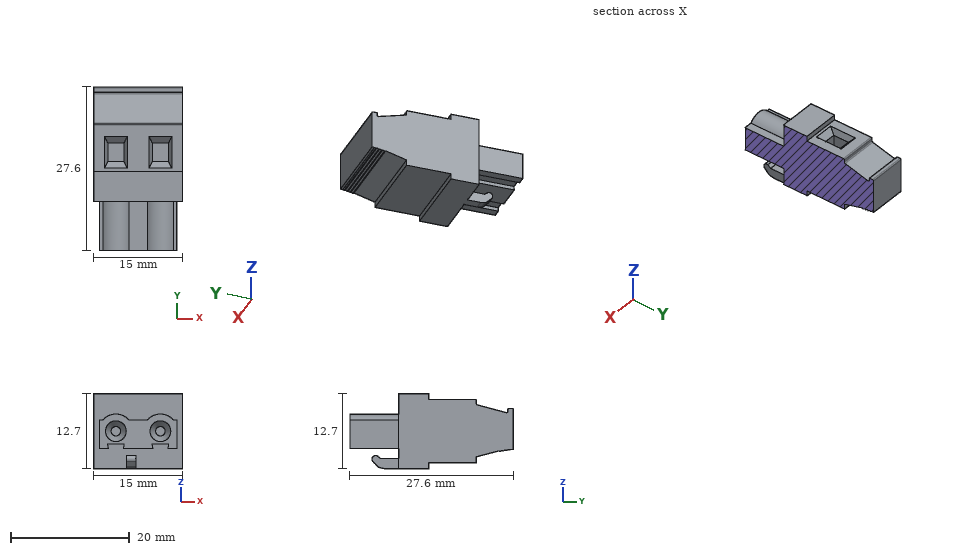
import cadquery as cq
import math


width = 15.0
length = 27.6
height = 12.7
pole_pitch = 7.5
pole_centers = (-pole_pitch / 2, pole_pitch / 2)

collar_front = 8.25
collar_back = 13.33
collar_step = 1.0
body_back = 21.35
body_top = height - collar_step
upper_slope_start_z = 10.85
lower_slope_start_z = 2.01
slope_angle = 15
slope = math.tan(math.radians(slope_angle))
lip_thickness = 0.97
lip_front = length - lip_thickness
lip_top = 10.18
edge_radius = 0.2

rear_bottom = 3.25
tooth_count = 4
tooth_pitch = 0.52
first_tooth_inset = 0.65
first_tooth_y = length - first_tooth_inset
first_tooth_z = 3.15
tooth_drop = 0.08
tooth_depth = 0.1
tooth_flank = 0.22
first_tooth_start = first_tooth_y + tooth_flank

plug_width = 13.05
plug_bottom = 3.42
plug_top = 8.22
socket_z = 6.35
barrel_radius = 2.9
socket_mouth_diameter = 3.5
socket_end_diameter = 1.6
socket_depth = 1.65

keyway_depth = 0.75
keyway_mouth_width = 2.55
keyway_root_width = 2.82

well_center_y = 16.55
well_mouth_x = 3.85
well_mouth_y = 5.33
well_x = 2.73
well_y = 3.12
well_taper_depth = 1.1
well_depth = 5.52

hook_width = 1.63
hook_center_x = -1.2
hook_thickness = 1.77
hook_heel_radius = 0.83


def extrude_across(outline, x_center, x_size):
    """Extrude a closed (Y, Z) outline symmetrically about x_center."""
    return outline.extrude(x_size / 2, both=True).translate((x_center, 0, 0))


def tooth_points():
    """Tip and following valley of each grip tooth, from rear to front."""
    points = []
    for i in range(tooth_count):
        tip_y = first_tooth_y - i * tooth_pitch
        tip_z = first_tooth_z - i * tooth_drop
        points.append((tip_y, tip_z))
        points.append((tip_y - tooth_flank, tip_z + tooth_depth))
    return points


def make_housing():
    upper_slope_end_z = upper_slope_start_z - slope * (lip_front - body_back)
    outline = [
        (collar_front, 0),
        (collar_front, height),
        (collar_back, height),
        (collar_back, body_top),
        (body_back, body_top),
        (body_back, upper_slope_start_z),
        (lip_front, upper_slope_end_z),
        (lip_front, lip_top),
        (length, lip_top),
        (length, rear_bottom),
        (first_tooth_start, rear_bottom),
        *tooth_points(),
        (body_back, lower_slope_start_z),
        (body_back, collar_step),
        (collar_back, collar_step),
        (collar_back, 0),
    ]
    housing = extrude_across(cq.Workplane("YZ").polyline(outline).close(), 0, width)
    rounded_corners = (
        (body_back, body_top),
        (body_back, upper_slope_start_z),
        (lip_front, upper_slope_end_z),
        (lip_front, lip_top),
        (length, lip_top),
    )
    for y, z in rounded_corners:
        corner = cq.selectors.NearestToPointSelector((0, y, z))
        housing = housing.edges(corner).fillet(edge_radius)
    return housing


def make_plug():
    plug_height = plug_top - plug_bottom
    plug = cq.Workplane("XY").box(plug_width, collar_front, plug_height, centered=(True, False, False))
    plug = plug.translate((0, 0, plug_bottom))
    above_plug = cq.Workplane("XY").box(width, collar_front, height, centered=(True, False, False))
    above_plug = above_plug.translate((0, 0, plug_top))
    for x in pole_centers:
        barrel = cq.Workplane("XZ", origin=(x, 0, socket_z)).circle(barrel_radius).extrude(-collar_front)
        plug = plug.union(barrel.intersect(above_plug))
    for x in pole_centers:
        plug = plug.cut(make_keyway(x))
    return plug


def make_keyway(x):
    outline = [
        (x - keyway_mouth_width / 2, plug_bottom),
        (x - keyway_root_width / 2, plug_bottom + keyway_depth),
        (x + keyway_root_width / 2, plug_bottom + keyway_depth),
        (x + keyway_mouth_width / 2, plug_bottom),
    ]
    return cq.Workplane("XZ").polyline(outline).close().extrude(-collar_front)


def make_socket(x):
    """Conical pin entry in the plug tip."""
    return (
        cq.Workplane("XZ", origin=(x, 0, socket_z))
        .circle(socket_mouth_diameter / 2)
        .workplane(offset=-socket_depth)
        .circle(socket_end_diameter / 2)
        .loft()
    )


def make_screw_well(x):
    """Funnel mouth leading into a straight rectangular well."""
    funnel = (
        cq.Workplane("XY", origin=(x, well_center_y, body_top))
        .rect(well_mouth_x, well_mouth_y)
        .workplane(offset=-well_taper_depth)
        .rect(well_x, well_y)
        .loft(ruled=True)
    )
    shaft = (
        cq.Workplane("XY", origin=(x, well_center_y, body_top - well_depth))
        .rect(well_x, well_y)
        .extrude(well_depth - well_taper_depth)
    )
    return funnel.union(shaft)


def make_hook():
    neck_top = (5.2, hook_thickness)
    nose_top = (4.58, 2.24)
    nose_tip = (3.73, 1.7)
    nose_bottom = (3.85, 1.27)
    heel = (4.85, 0.22)
    heel_start = (5.9, 0)
    outline = (
        cq.Workplane("YZ")
        .moveTo(collar_front, 0)
        .lineTo(collar_front, hook_thickness)
        .lineTo(*neck_top)
        .lineTo(*nose_top)
        .threePointArc(nose_tip, nose_bottom)
        .lineTo(*heel)
        .lineTo(*heel_start)
        .close()
    )
    hook = extrude_across(outline, hook_center_x, hook_width)
    heel_edge = cq.selectors.NearestToPointSelector((hook_center_x, *heel))
    return hook.edges(heel_edge).fillet(hook_heel_radius)


result = make_housing().union(make_plug()).union(make_hook())
for pole_x in pole_centers:
    result = result.cut(make_socket(pole_x)).cut(make_screw_well(pole_x))